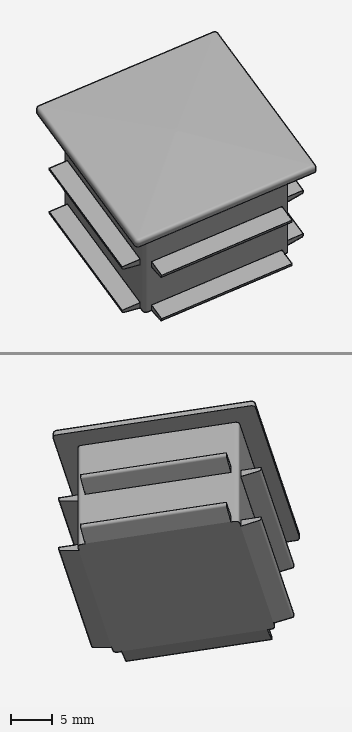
import cadquery as cq

cap_width = 25.0
total_height = 18.0
stem_width = 20.0
stem_height = 16.0
cap_thickness = 1.02
edge_radius = 0.5
apex_flat_width = 0.55
ridge_cut = 0.08
fin_tip_radius = 0.3
fin_length = 18.0
fin_root_thickness = 1.0
fin_tip_thickness = 0.5
fin_bottoms = (0.0, 8.0)

cap_top = stem_height + cap_thickness
roof_base_width = cap_width - 2 * edge_radius


def make_stem():
    """Square plug body with rounded vertical corners."""
    stem = cq.Workplane("XY").rect(stem_width, stem_width).extrude(stem_height)
    return stem.edges("|Z").fillet(edge_radius)


def make_cap():
    """Flat cap plate with rounded corners and top rim."""
    plate = cq.Workplane("XY", origin=(0, 0, stem_height))
    plate = plate.rect(cap_width, cap_width).extrude(cap_thickness)
    return plate.edges("|Z or >Z").fillet(edge_radius)


def clipped_square(width):
    """Corner points of a square whose corners are cut to the width of the ridge strips."""
    half = width / 2
    short = half - ridge_cut
    return [
        (half, -short), (half, short), (short, half), (-short, half),
        (-half, short), (-half, -short), (-short, -half), (short, -half),
    ]


def make_roof():
    """Shallow pyramid with narrow flattened ridges and a small flat at its apex."""
    return (
        cq.Workplane("XY", origin=(0, 0, cap_top))
        .polyline(clipped_square(roof_base_width))
        .close()
        .workplane(offset=total_height - cap_top)
        .polyline(clipped_square(apex_flat_width))
        .close()
        .loft(ruled=True)
    )


def make_fin(bottom):
    """Sealing fin on the +X face: flat on top, sloping up underneath towards its tip."""
    root_x = stem_width / 2
    tip_x = cap_width / 2
    inner_x = root_x - edge_radius
    top = bottom + fin_root_thickness
    profile = [
        (inner_x, bottom),
        (root_x, bottom),
        (tip_x, top - fin_tip_thickness),
        (tip_x, top),
        (inner_x, top),
    ]
    fin = cq.Workplane("XZ").polyline(profile).close().extrude(fin_length / 2, both=True)
    tip_edge = cq.selectors.NearestToPointSelector((tip_x, 0, top - fin_tip_thickness))
    return fin.edges(tip_edge).fillet(fin_tip_radius)

result = make_stem().union(make_cap()).union(make_roof())
for fin_bottom in fin_bottoms:
    for angle in (0, 90, 180, 270):
        fin = make_fin(fin_bottom).rotate((0, 0, 0), (0, 0, 1), angle)
        result = result.union(fin)